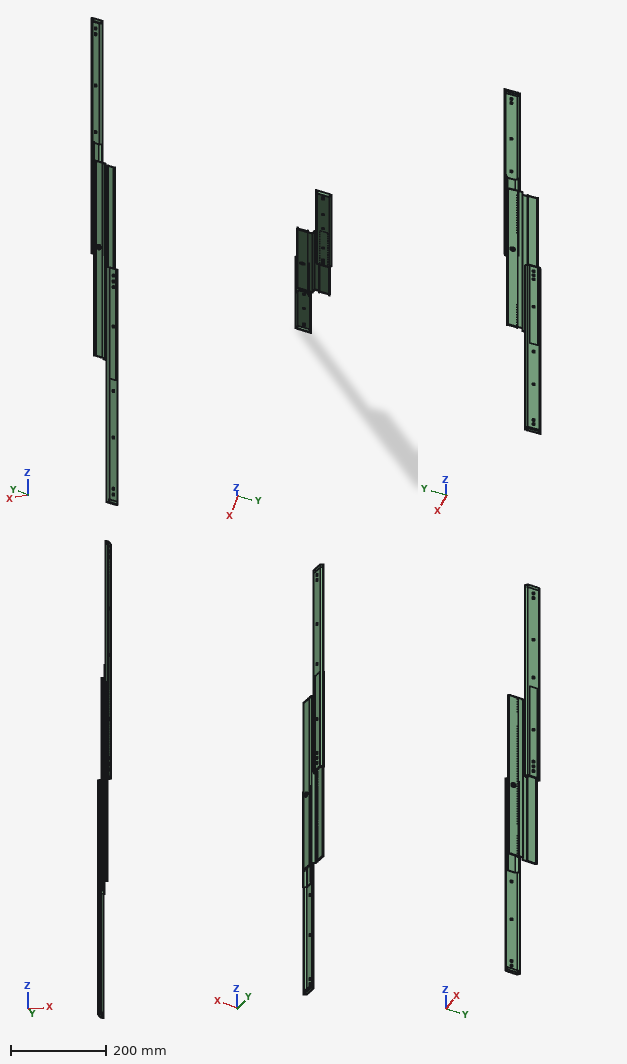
import cadquery as cq
import math


TOTAL_LENGTH = 1043.0
TOTAL_WIDTH = 81.0

RAIL_INNER_END = 11.0
RAIL_WIDTH = 35.0
RAIL_FACE_X = 6.4
RAIL_THICKNESS = 1.3
RAIL_FLANGE_SLOPE = 4.0
RAIL_LIP_DEPTH = 1.6
RAIL_LIP_X = 0.0
END_TAB_THICKNESS = 6.0
RAIL_HOLE_DIAMETER = 5.0
RAIL_HOLE_HEIGHTS = [27.0, 40.0, 52.0, 138.0, 277.0, 379.0, 490.0, 503.0]

MIDDLE_LENGTH = 423.0
PLATE_FACE_X = 4.0
PLATE_THICKNESS = 1.0
PLATE_EDGE_Y = 33.0
PLATE_FOLD_Y = 1.6
CHANNEL_EDGE_Y = 35.0
CHANNEL_WIDTH = 24.0
CHANNEL_THICKNESS = 1.6
CHANNEL_TIP_X = 0.0
PLATE_HOLE_DIAMETER = 10.0
CHANNEL_HOLE_DIAMETER = 5.0
MIDDLE_HOLE_HEIGHT = 26.0

RETAINER_TOP = 252.0
RETAINER_THICKNESS = 0.8
RETAINER_FACE_X = 4.4
RETAINER_WEB_WIDTH = 18.0
RETAINER_WIDTH = 29.0
RETAINER_SLOPE_X = -0.5
RETAINER_TIP_X = -2.6

HALF_LENGTH = TOTAL_LENGTH / 2
RAIL_CENTER_Y = (TOTAL_WIDTH - RAIL_WIDTH) / 2
CHANNEL_CENTER_Y = CHANNEL_EDGE_Y - CHANNEL_WIDTH / 2
SIDES = (1, -1)


def inward_offset(path, thickness):
    """Offset an open path to its left by the thickness, with mitred corners."""
    angles = [math.atan2(b[1] - a[1], b[0] - a[0]) for a, b in zip(path, path[1:])]
    before = angles[:1] + angles
    after = angles + angles[-1:]
    moved = []
    for (x, y), first, second in zip(path, before, after):
        normal = (first + second + math.pi) / 2
        reach = thickness / math.cos((second - first) / 2)
        moved.append((x + reach * math.cos(normal), y + reach * math.sin(normal)))
    return moved


def prism(outline, start, end, side):
    """Extrude an XY outline between two heights, inverted for side = -1."""
    points = [(side * x, side * y) for x, y in outline]
    base = cq.Workplane("XY").workplane(offset=side * start)
    return base.polyline(points).close().extrude(side * (end - start))


def sheet(path, thickness, start, end, side):
    """A bent sheet whose outer face follows the path and whose metal lies to the left."""
    outline = path + inward_offset(path, thickness)[::-1]
    return prism(outline, start, end, side)


def cross_holes(diameter, y, heights, side):
    """Cylinders along X that cut holes through one half of the slide."""
    places = [(side * y, side * z) for z in heights]
    return cq.Workplane("YZ").pushPoints(places).circle(diameter / 2).extrude(RAIL_FACE_X, both=True)


def make_rail(side):
    half = RAIL_WIDTH / 2
    web_half = half - RAIL_FLANGE_SLOPE
    lip_start = RAIL_LIP_X + RAIL_LIP_DEPTH
    path = [
        (RAIL_LIP_X, RAIL_CENTER_Y - half),
        (lip_start, RAIL_CENTER_Y - half),
        (RAIL_FACE_X, RAIL_CENTER_Y - web_half),
        (RAIL_FACE_X, RAIL_CENTER_Y + web_half),
        (lip_start, RAIL_CENTER_Y + half),
        (RAIL_LIP_X, RAIL_CENTER_Y + half),
    ]
    rail = sheet(path, RAIL_THICKNESS, RAIL_INNER_END, HALF_LENGTH, side)

    tab_outline = [
        (RAIL_LIP_X, RAIL_CENTER_Y - web_half),
        (RAIL_FACE_X, RAIL_CENTER_Y - web_half),
        (RAIL_FACE_X, RAIL_CENTER_Y + web_half),
        (RAIL_LIP_X, RAIL_CENTER_Y + web_half),
    ]
    tab = prism(tab_outline, HALF_LENGTH - END_TAB_THICKNESS, HALF_LENGTH, side)
    holes = cross_holes(RAIL_HOLE_DIAMETER, RAIL_CENTER_Y, RAIL_HOLE_HEIGHTS, side)
    return rail.union(tab).cut(holes)


def make_plate():
    path = [
        (-PLATE_FACE_X, PLATE_EDGE_Y),
        (-PLATE_FACE_X, PLATE_FOLD_Y),
        (PLATE_FACE_X - PLATE_THICKNESS, -PLATE_FOLD_Y),
        (PLATE_FACE_X - PLATE_THICKNESS, -PLATE_EDGE_Y),
    ]
    plate = sheet(path, PLATE_THICKNESS, -MIDDLE_LENGTH / 2, MIDDLE_LENGTH / 2, 1)
    for side in SIDES:
        plate = plate.cut(cross_holes(PLATE_HOLE_DIAMETER, CHANNEL_CENTER_Y, [MIDDLE_HOLE_HEIGHT], side))
    return plate


def make_inner_channel(side):
    back_x = PLATE_THICKNESS - PLATE_FACE_X
    path = [
        (CHANNEL_TIP_X, CHANNEL_EDGE_Y),
        (back_x, CHANNEL_EDGE_Y),
        (back_x, CHANNEL_EDGE_Y - CHANNEL_WIDTH),
        (CHANNEL_TIP_X, CHANNEL_EDGE_Y - CHANNEL_WIDTH),
    ]
    channel = sheet(path, CHANNEL_THICKNESS, -MIDDLE_LENGTH / 2, MIDDLE_LENGTH / 2, side)
    return channel.cut(cross_holes(CHANNEL_HOLE_DIAMETER, CHANNEL_CENTER_Y, [MIDDLE_HOLE_HEIGHT], side))


def make_retainer(side):
    half = RETAINER_WIDTH / 2
    web_half = RETAINER_WEB_WIDTH / 2
    path = [
        (RETAINER_TIP_X, CHANNEL_CENTER_Y - half),
        (RETAINER_SLOPE_X, CHANNEL_CENTER_Y - half),
        (RETAINER_FACE_X, CHANNEL_CENTER_Y - web_half),
        (RETAINER_FACE_X, CHANNEL_CENTER_Y + web_half),
        (RETAINER_SLOPE_X, CHANNEL_CENTER_Y + half),
        (RETAINER_TIP_X, CHANNEL_CENTER_Y + half),
    ]
    return sheet(path, RETAINER_THICKNESS, RAIL_INNER_END, RETAINER_TOP, side)


rails = [make_rail(side).val() for side in SIDES]
plate = make_plate().val()
inner_channels = [make_inner_channel(side).val() for side in SIDES]
retainers = [make_retainer(side).val() for side in SIDES]

result = cq.Compound.makeCompound([*rails, plate, *inner_channels, *retainers])